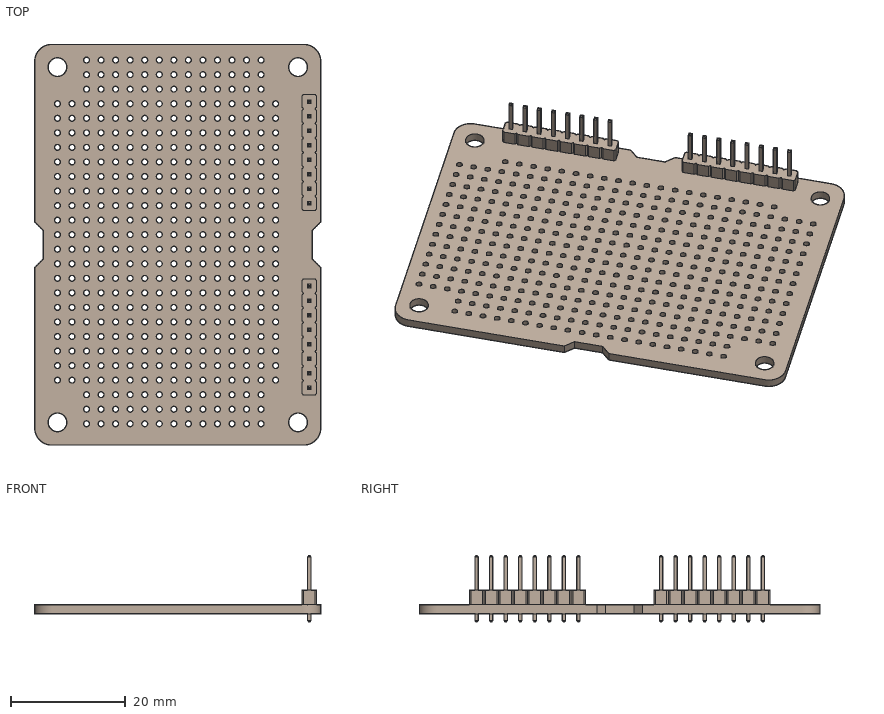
import cadquery as cq

BOARD_X = 50.0
BOARD_Y = 70.0
BOARD_Z = 1.6
CORNER_RADIUS = 3.0

MOUNT_HOLE_DIAMETER = 3.2
MOUNT_HOLE_INSET = 4.0

NOTCH_DEPTH = 1.5
NOTCH_LENGTH = 8.0

GRID_HOLE_DIAMETER = 1.0
GRID_ROWS = 26
GRID_COLUMNS = 16
GRID_SPAN_Y = 63.5
GRID_CENTER_Y = 0.5
PITCH = GRID_SPAN_Y / (GRID_ROWS - 1)
SHORT_ROWS_PER_END = 3
SHORT_ROW_FIRST_COLUMN = 2
SHORT_ROW_LAST_COLUMN = 14
GRID_LEFT_X = MOUNT_HOLE_INSET - BOARD_X / 2

PIN_COUNT = 8
BLOCK_SIZE = PITCH
BLOCK_CHAMFER = 0.3
PIN_WIDTH = 0.6
PIN_TIP_CHAMFER = 0.2
PIN_LENGTH = 11.55
PIN_BOTTOM_Z = -1.4
HEADER_X = 22.95
HEADER_CENTER_Y = 16.1
HEADER_CENTERS = [(HEADER_X, -HEADER_CENTER_Y), (HEADER_X, HEADER_CENTER_Y)]


def pin_positions(center):
    """Centres of the pins of one header, in a row along Y."""
    x, y = center
    first_y = y - PITCH * (PIN_COUNT - 1) / 2
    return [(x, first_y + i * PITCH) for i in range(PIN_COUNT)]


def grid_positions():
    """Centres of the small holes, leaving out the ends of the outermost rows."""
    points = []
    for row in range(GRID_ROWS):
        is_short = row < SHORT_ROWS_PER_END or row >= GRID_ROWS - SHORT_ROWS_PER_END
        first = SHORT_ROW_FIRST_COLUMN if is_short else 0
        last = SHORT_ROW_LAST_COLUMN if is_short else GRID_COLUMNS - 1
        y = GRID_CENTER_Y - GRID_SPAN_Y / 2 + row * PITCH
        points += [(GRID_LEFT_X + column * PITCH, y) for column in range(first, last + 1)]
    return points


def make_edge_notch(side):
    """Cutter for one edge notch; side is -1 for the -X edge and 1 for the +X edge."""
    edge_x = side * BOARD_X / 2
    floor_x = edge_x - side * NOTCH_DEPTH
    mouth_y = NOTCH_LENGTH / 2
    floor_y = mouth_y - NOTCH_DEPTH
    outline = [(edge_x, -mouth_y), (floor_x, -floor_y), (floor_x, floor_y), (edge_x, mouth_y)]
    return cq.Workplane("XY").polyline(outline).close().extrude(BOARD_Z)


def make_board():
    """Rounded plate with notches, mounting holes, hole grid and square pin holes."""
    plate = cq.Workplane("XY").box(BOARD_X, BOARD_Y, BOARD_Z, centered=(True, True, False))
    plate = plate.edges("|Z").fillet(CORNER_RADIUS)
    for side in (-1, 1):
        plate = plate.cut(make_edge_notch(side))

    mount_holes = (
        cq.Workplane("XY")
        .rect(BOARD_X - 2 * MOUNT_HOLE_INSET, BOARD_Y - 2 * MOUNT_HOLE_INSET, forConstruction=True)
        .vertices()
        .circle(MOUNT_HOLE_DIAMETER / 2)
        .extrude(BOARD_Z)
    )
    grid_holes = (
        cq.Workplane("XY").pushPoints(grid_positions()).circle(GRID_HOLE_DIAMETER / 2).extrude(BOARD_Z)
    )
    plate = plate.cut(mount_holes).cut(grid_holes)

    for center in HEADER_CENTERS:
        pin_holes = (
            cq.Workplane("XY").pushPoints(pin_positions(center)).rect(PIN_WIDTH, PIN_WIDTH).extrude(BOARD_Z)
        )
        plate = plate.cut(pin_holes)
    return plate


def make_block(position):
    """One header block standing on the board, its upright edges chamfered."""
    block = cq.Workplane("XY").box(BLOCK_SIZE, BLOCK_SIZE, BLOCK_SIZE, centered=(True, True, False))
    return block.edges("|Z").chamfer(BLOCK_CHAMFER).translate((*position, BOARD_Z))


def make_pin(position):
    """One square pin with both tips chamfered."""
    pin = cq.Workplane("XY").box(PIN_WIDTH, PIN_WIDTH, PIN_LENGTH, centered=(True, True, False))
    return pin.faces("<Z or >Z").chamfer(PIN_TIP_CHAMFER).translate((*position, PIN_BOTTOM_Z))


def make_header(center):
    """One pin header: blocks and pins joined into a single solid."""
    positions = pin_positions(center)
    header = make_block(positions[0])
    for position in positions[1:]:
        header = header.union(make_block(position))
    for position in positions:
        header = header.union(make_pin(position))
    return header


board = make_board()
headers = [make_header(center) for center in HEADER_CENTERS]

result = cq.Compound.makeCompound([board.solids().val(), *[header.solids().val() for header in headers]])